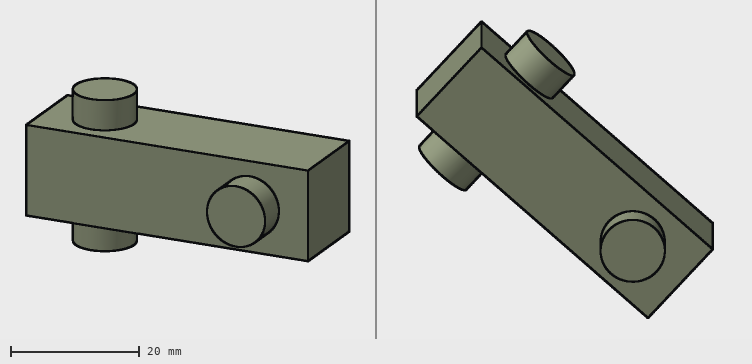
import cadquery as cq

bar_length = 48.5
bar_side = 15.0

pin_diameter = 10.0
pin_projection = 5.0
pin_end_distance = 10.0

pin_span = bar_side + 2 * pin_projection
pin_offset = bar_length / 2 - pin_end_distance


def through_pin(x, axis):
    """Pin centred at x, running through the bar along the given axis."""
    half_span = axis * (pin_span / 2)
    start = cq.Vector(x, 0, 0) - half_span
    return cq.Workplane(cq.Solid.makeCylinder(pin_diameter / 2, pin_span, start, axis))


bar = cq.Workplane("XY").box(bar_length, bar_side, bar_side)
vertical_pin = through_pin(-pin_offset, cq.Vector(0, 0, 1))
cross_pin = through_pin(pin_offset, cq.Vector(0, 1, 0))

result = bar.union(vertical_pin).union(cross_pin)